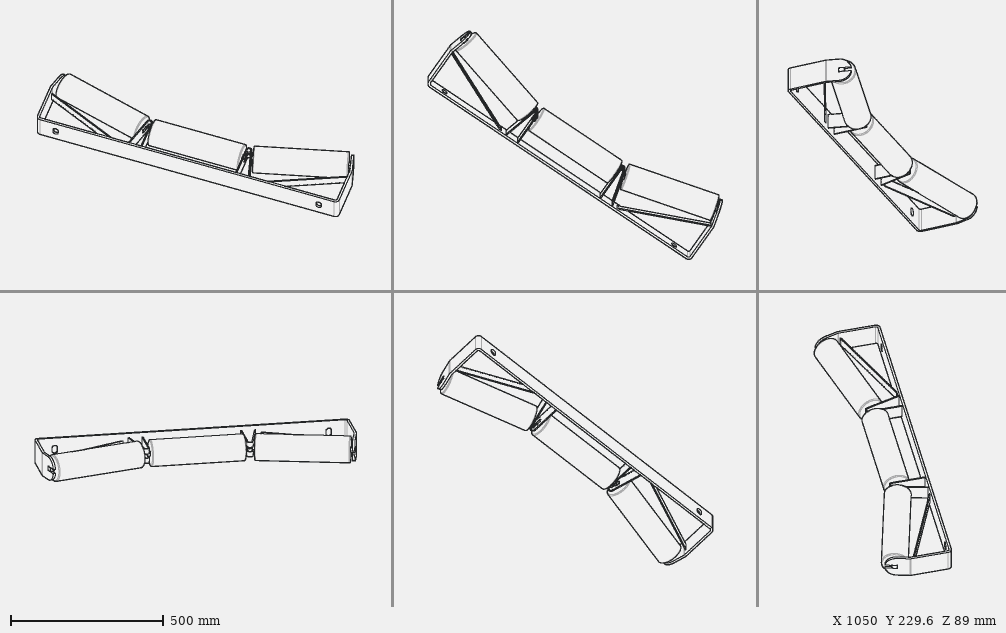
import cadquery as cq
import math

TROUGH_ANGLE = 15.0
COS_TROUGH = math.cos(math.radians(TROUGH_ANGLE))
SIN_TROUGH = math.sin(math.radians(TROUGH_ANGLE))
TAN_TROUGH = SIN_TROUGH / COS_TROUGH

ROLLER_DIAMETER = 89.0
ROLLER_LENGTH = 314.0
ROLLER_EDGE_RADIUS = 3.0
SHAFT_DIAMETER = 20.0
SHAFT_FLAT_WIDTH = 14.0
SHAFT_RADIUS = SHAFT_DIAMETER / 2
ROLLER_HALF_LENGTH = ROLLER_LENGTH / 2

CENTER_ROLLER_Y = 101.0
SIDE_ROLLER_X = 344.8
SIDE_ROLLER_Y = 146.65

FRAME_WIDTH = 1050.0
FRAME_HEIGHT = 80.0
FRAME_THICKNESS = 8.0
BEND_INNER_RADIUS = 6.0
FRAME_BEND_RADIUS = BEND_INNER_RADIUS + FRAME_THICKNESS
OUTER_GAP = 7.5
TIP_CENTER_DROP = 7.5
BOLT_SLOT_SPACING = 915.0
BOLT_SLOT_WIDTH = 18.0
BOLT_SLOT_LENGTH = 28.0

BRACKET_THICKNESS = 4.0
BRACKET_HEIGHT = 50.0
INNER_GAP = 6.0
BRACKET_BEND_RADIUS = BEND_INNER_RADIUS + BRACKET_THICKNESS

STRUT_THICKNESS = 4.0
STRUT_HEIGHT = 30.0
STRUT_WALL_Y = 132.5
STRUT_BASE_X = 235.0

INNER_REACH = INNER_GAP + BRACKET_THICKNESS
OUTER_REACH = OUTER_GAP + FRAME_THICKNESS


def on_side_roller(shape):
    """Move a shape from a roller centred on the X axis to the right side roller."""
    turned = shape.rotate((0, 0, 0), (0, 0, 1), TROUGH_ANGLE)
    return turned.translate((SIDE_ROLLER_X, SIDE_ROLLER_Y, 0))


def on_center_roller(shape):
    """Move a shape from a roller centred on the X axis to the center roller."""
    return shape.translate((0, CENTER_ROLLER_Y, 0))


def side_roller_point(along):
    """X and Y of a point on the right side roller's axis, measured from the roller centre."""
    return SIDE_ROLLER_X + along * COS_TROUGH, SIDE_ROLLER_Y + along * SIN_TROUGH


def side_face_x(along, y):
    """X at height y of the plane that crosses the right side roller's axis squarely at `along`."""
    axis_x, axis_y = side_roller_point(along)
    return axis_x - (y - axis_y) * TAN_TROUGH


def make_roller(left_reach, right_reach):
    drum = (
        cq.Workplane("YZ", origin=(-ROLLER_HALF_LENGTH, 0, 0))
        .circle(ROLLER_DIAMETER / 2)
        .extrude(ROLLER_LENGTH)
        .faces("<X or >X")
        .edges()
        .fillet(ROLLER_EDGE_RADIUS)
    )
    shaft_start = -ROLLER_HALF_LENGTH - left_reach
    shaft_length = left_reach + ROLLER_LENGTH + right_reach
    shaft = cq.Workplane("YZ", origin=(shaft_start, 0, 0)).circle(SHAFT_RADIUS).extrude(shaft_length)
    flats = cq.Workplane().box(2 * shaft_length, SHAFT_DIAMETER, SHAFT_FLAT_WIDTH)
    return drum.union(shaft.intersect(flats))


def make_shaft_slot(direction, start, end):
    """Open-topped slot around a shaft end, from `start` to `end` past the roller's end face."""
    length = end - start
    depth = ROLLER_DIAMETER
    middle = direction * (ROLLER_HALF_LENGTH + (start + end) / 2)
    slot = cq.Workplane().box(length, depth, SHAFT_FLAT_WIDTH)
    return slot.translate((middle, depth / 2 - SHAFT_RADIUS, 0))


def frame_half_outline(inset):
    """Solid inside the frame's right half, set in by `inset` from the bar's outer faces."""
    wall_x = FRAME_WIDTH / 2 - inset
    face = ROLLER_HALF_LENGTH + OUTER_REACH - inset
    axis_x, axis_y = side_roller_point(face)
    bend_y = axis_y - (wall_x - axis_x) / TAN_TROUGH
    top_y = axis_y + ROLLER_DIAMETER
    outline = (
        cq.Workplane()
        .moveTo(0, inset)
        .lineTo(wall_x, inset)
        .lineTo(wall_x, bend_y)
        .lineTo(side_face_x(face, top_y), top_y)
        .lineTo(0, top_y)
        .close()
        .extrude(FRAME_HEIGHT / 2, both=True)
    )
    margin = FRAME_THICKNESS / 2
    bend_edges = cq.selectors.BoxSelector(
        (wall_x - margin, inset - margin, -margin), (wall_x + margin, bend_y + margin, margin)
    )
    return outline.edges("|Z").edges(bend_edges).fillet(FRAME_BEND_RADIUS - inset)


def make_tip_trim():
    """Envelope that rounds the tilted wing's tip to a half circle and leaves the rest whole."""
    below = FRAME_WIDTH
    tip_radius = FRAME_HEIGHT / 2
    trim = (
        cq.Workplane("YZ")
        .moveTo(-below, -tip_radius)
        .lineTo(-TIP_CENTER_DROP, -tip_radius)
        .threePointArc((tip_radius - TIP_CENTER_DROP, 0), (-TIP_CENTER_DROP, tip_radius))
        .lineTo(-below, tip_radius)
        .close()
        .extrude(FRAME_WIDTH, both=True)
    )
    return on_side_roller(trim)


def make_frame():
    half = frame_half_outline(0).cut(frame_half_outline(FRAME_THICKNESS))
    half = half.intersect(make_tip_trim())
    slot = make_shaft_slot(1, 0, 2 * OUTER_REACH)
    half = half.cut(on_side_roller(slot))
    bolt_slot = (
        cq.Workplane("XZ", origin=(BOLT_SLOT_SPACING / 2, 0, 0))
        .slot2D(BOLT_SLOT_LENGTH, BOLT_SLOT_WIDTH, 90)
        .extrude(FRAME_THICKNESS, both=True)
    )
    half = half.cut(bolt_slot)
    return half.union(half.mirror("YZ"))


def bracket_wedge(inset):
    """Wedge between the bracket's two legs, set in from its outer faces, with a rounded top."""
    upright_x = ROLLER_HALF_LENGTH + INNER_GAP + inset
    face = -ROLLER_HALF_LENGTH - INNER_GAP - inset
    axis_x, axis_y = side_roller_point(face)
    apex_y = axis_y + (axis_x - upright_x) / TAN_TROUGH
    wedge = (
        cq.Workplane()
        .moveTo(upright_x, FRAME_THICKNESS)
        .lineTo(side_face_x(face, FRAME_THICKNESS), FRAME_THICKNESS)
        .lineTo(upright_x, apex_y)
        .close()
        .extrude(BRACKET_HEIGHT / 2, both=True)
    )
    return wedge.edges("|Z").edges(">Y").fillet(BRACKET_BEND_RADIUS - inset)


def make_bracket():
    bracket = bracket_wedge(0).cut(bracket_wedge(BRACKET_THICKNESS))
    slot_end = INNER_GAP + BRACKET_BEND_RADIUS
    bracket = bracket.cut(on_center_roller(make_shaft_slot(1, 0, slot_end)))
    return bracket.cut(on_side_roller(make_shaft_slot(-1, 0, slot_end)))


def make_strut():
    wall_x = FRAME_WIDTH / 2 - FRAME_THICKNESS
    run = wall_x - STRUT_BASE_X
    rise = STRUT_WALL_Y - FRAME_THICKNESS
    length = math.hypot(run, rise)
    half_along_wall = STRUT_THICKNESS / 2 * length / run
    half_along_base = STRUT_THICKNESS / 2 * length / rise
    return (
        cq.Workplane()
        .moveTo(STRUT_BASE_X - half_along_base, FRAME_THICKNESS)
        .lineTo(STRUT_BASE_X + half_along_base, FRAME_THICKNESS)
        .lineTo(wall_x, STRUT_WALL_Y - half_along_wall)
        .lineTo(wall_x, STRUT_WALL_Y + half_along_wall)
        .close()
        .extrude(STRUT_HEIGHT / 2, both=True)
    )


frame = make_frame()
center_roller = on_center_roller(make_roller(INNER_REACH, INNER_REACH))
bodies = [frame.val(), center_roller.val()]

right_side_bodies = [
    on_side_roller(make_roller(INNER_REACH, OUTER_REACH)),
    make_bracket(),
    make_strut(),
]
for body in right_side_bodies:
    bodies.append(body.val())
    bodies.append(body.mirror("YZ").val())

result = cq.Compound.makeCompound(bodies)